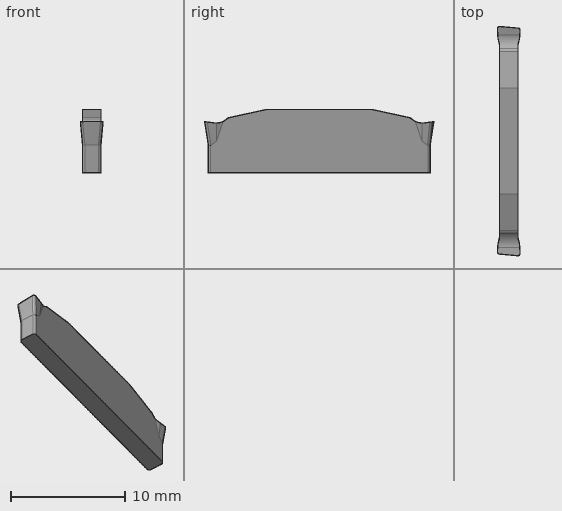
import cadquery as cq
import math


blade_width = 1.62
blade_half_length = 9.7
blade_height = 5.54
corner_radius = 0.22

ridge_half_length = 4.63
slope_end_y = 7.83
slope_angle = 12.3
groove_start_y = 8.07
groove_start_z = 4.72
land_start_y = 9.29
rake_angle = 7.0

head_width = 2.03
tip_y = 10.045
tip_z = 4.48
edge_lead_angle = 5.0
shoulder_z = 2.42
head_base_z = 2.22
neck_y = 8.97
side_relief_angle = 4.0
neck_angle = 15.0
head_back_y = 8.0


def tan_deg(angle):
    return math.tan(math.radians(angle))


def make_half_blade():
    """Blade from the middle to its +Y end, with rounded upright end corners."""
    return (
        cq.Workplane("XY")
        .box(blade_width, blade_half_length, blade_height, centered=(True, False, False))
        .edges("|Z and >Y")
        .fillet(corner_radius)
    )


def head_section(z, width, left_y, right_y):
    """Plan wire of the head at height z: front edge from left_y to right_y, narrowing backward."""
    half = width / 2
    neck_half = half - (blade_half_length - neck_y) * tan_deg(side_relief_angle)
    back_half = neck_half - (neck_y - head_back_y) * tan_deg(neck_angle)
    wire = cq.Wire.makePolygon(
        [
            cq.Vector(-back_half, head_back_y, z),
            cq.Vector(-neck_half, neck_y, z),
            cq.Vector(-half, left_y, z),
            cq.Vector(half, right_y, z),
            cq.Vector(neck_half, neck_y, z),
            cq.Vector(back_half, head_back_y, z),
        ],
        close=True,
    )
    front_corners = [corner for corner in wire.Vertices() if corner.Y > neck_y + corner_radius]
    return wire.fillet2D(corner_radius, front_corners)


def front_base_y(edge_y):
    """Y at the head base of a front line from edge_y at the tip, through the blade end at the shoulder."""
    slope = (edge_y - blade_half_length) / (tip_z - shoulder_z)
    return blade_half_length - slope * (shoulder_z - head_base_z)


def make_head():
    """Flared head lofted from its base in the blade up to the height of the cutting tip."""
    trailing_y = tip_y - head_width * tan_deg(edge_lead_angle)
    base = head_section(head_base_z, blade_width, front_base_y(tip_y), front_base_y(trailing_y))
    top = head_section(tip_z, head_width, tip_y, trailing_y)
    return cq.Workplane(cq.Solid.makeLoft([base, top], True))


def make_top_envelope():
    """Everything below the top outline, from the middle of the blade to the tip."""
    slope_end_z = blade_height - (slope_end_y - ridge_half_length) * tan_deg(slope_angle)
    land_start_z = tip_z - (tip_y - land_start_y) * tan_deg(rake_angle)
    return (
        cq.Workplane("YZ")
        .lineTo(0, blade_height)
        .lineTo(ridge_half_length, blade_height)
        .lineTo(slope_end_y, slope_end_z)
        .tangentArcPoint((groove_start_y, groove_start_z), relative=False)
        .tangentArcPoint((land_start_y, land_start_z), relative=False)
        .lineTo(tip_y, tip_z)
        .lineTo(tip_y, 0)
        .close()
        .extrude(head_width, both=True)
    )


half_part = make_half_blade().union(make_head()).intersect(make_top_envelope())
opposite_half = half_part.rotate((0, 0, 0), (0, 0, 1), 180)
result = half_part.union(opposite_half).clean()